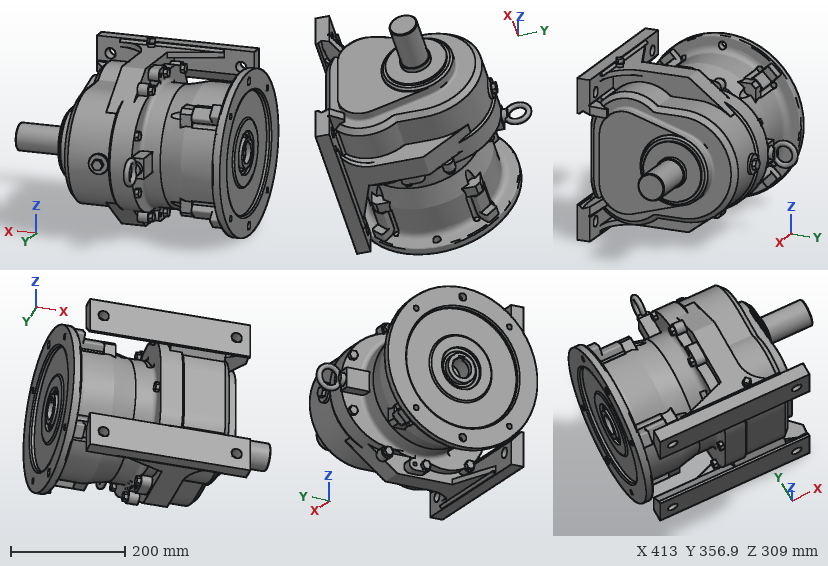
import cadquery as cq
import math

SIDES = (1, -1)

FLANGE_R = 150.0
FLANGE_T = 15.0
FLANGE_EDGE = 2.5
PILOT_R = 114.5
PILOT_DEPTH = 8.3
PILOT_CHAMFER = 3.0
HUB_FACE_R = 62.8
HUB_FACE_HEIGHT = 3.0
SEAL_RECESS_R = 39.2
SEAL_RECESS_X = 10.7
SHAFT_RECESS_R = 33
SHAFT_RECESS_X = 13.2
NECK_R = 119.8
NECK_END_X = 83.0
NECK_FILLET = 12.5
CONE_END_X = 123.5
ADAPTER_END_X = 125.5
CLEAR_HOLE_D = 14.0
TAPPED_HOLE_D = 10.0
TAPPED_DEPTH = 20.5
DRILL_TIP = 3.0
FLANGE_HOLE_R = 132
DIAGONALS = (45, 135, 225, 315)
LUG_ROOT_X = 12.5
LUG_X = 32.2
LUG_TOP_R = 147.0
RIB_X = 71.0
RIB_TOP_R = 132
RIB_W = 26.5
RIB_EDGE_R = 3.5
RIB_GROOVE_R = 5.5
RIB_GROOVE_AXIS_R = 121.0
BLOCK_X = 92.5
BLOCK_SIDE = 196.5
BLOCK_CHAMFER = 8.3
RELIEF_R = 9.0
RELIEF_AXIS_R = 121.0

INPUT_R = 55.0 / 2
INPUT_X = 3.5
INPUT_END_X = 58
INPUT_BORE_R = 19.0
INPUT_LIP_T = 9.5
INPUT_RELIEF_R = 24.0
INPUT_BORE_DEPTH = 49.5
KEYWAY_W = 12.0
KEYWAY_TOP_Z = 22.0

COVER_R = 110.3
RING_X = 163.0
RING_END_X = 207.5
RING_STEP = 3.7
COVER_FILLET = 7.5
LENS_X = 152.5
LENS_FLAT_R = 107.5
LENS_W = 49.5
LENS_ANGLES = (135, 225)
CASE_END_X = 293.0
CASE_CHAMFER = 9.5
UPPER_Y = 46.3
UPPER_R = 104.0
LOBE_Y = -55.0
LOBE_Z = 46.0
LOBE_R = 77.2
CORNER_FILLET = 4

OUTPUT_Y = 40.5
HUB_R = 65.0
HUB_END_X = 317.5
HUB_CHAMFER = 4
PAD_END_X = 311.0
PAD_LOBE_R = 49.0
PAD_FILLET = 4.5
FLAT_TOLERANCE = 0.05
SEAL_R = 55.5
SEAL_END_X = 321.7
SHOULDER_R = 55.0 / 2
SHOULDER_END_X = 330.5
OUTPUT_R = 50.0 / 2
OUTPUT_START_X = 268.5
OUTPUT_END_X = 413
OUTPUT_CHAMFER = 1.5

FOOT_X0 = 32.5
FOOT_X1 = 326.5
FOOT_Y0 = -140.0
FOOT_Y1 = -115.2
FOOT_Z0 = 85.0
FOOT_CHAMFER = 20.0
FOOT_CORNER_LAND = FOOT_Y1 - FOOT_Y0 - FOOT_CHAMFER
ROOT_Y = -126.5
ROOT_Z = 73.5
FOOT_HOLE_D = 19.0
FOOT_HOLE_X = (57.5, 301.5)
FOOT_HOLE_Z = 119.8
PLATE_X0 = 182.5
PLATE_X1 = 226.7
PLATE_Z = 143.7
PLATE_BEND_Y = 29.7
PLATE_BEND_R = 5.8
PLATE_TOP_Y = 110.3
PLATE_TOP_Z = 82.5
WEB_T = 10.0
WEB_X0 = 89.0
WEB_TOP_Y = -79.7
WEB_ARC_R = 55.5
WEB_FILLET = 5.0
GUSSET_X = 298.0
GUSSET_Y = -95.5
GUSSET_Z0 = 72.5
GUSSET_FALL = 0.4
GUSSET_T = 16.5

BOLT_HEAD_D = 17.0
BOLT_HEAD_H = 7.5
BOSS_R = 11.0
PLAIN_BOLT = (131.7, 52.0)
MIDDLE_BOLT = (-14.5, 127.5)
BOSSED_BOLTS = ((61.0, 115.5), MIDDLE_BOLT, (-102.0, 110.5))
BOTTOM_BOLT_Y = -126.0
DOWEL_BOSS = (5.5, MIDDLE_BOLT[1])
DOWEL_HOLE_D = 6.5

EYE_X = 155.0
EYE_BOSS_X0 = 140.5
EYE_BOSS_W = 37
EYE_SEAT_Y = 154.5
EYE_COLLAR_R = 12.0
EYE_COLLAR_H = 10.5
EYE_CENTER_Y = 181.7
EYE_RING_R = 20.2
EYE_WIRE_R = 5.0
EYE_SHANK_R = 5.0
EYE_SHANK_L = 12.5
VENT_X = 225.0
VENT_PAD_R = 18.0
VENT_HEAD_D = 20.2
VENT_HEAD_H = 7.0
VENT_SHANK_R = 6.0
VENT_SHANK_L = 8.3
DRAIN_X = 221.5
DRAIN_Y = -105.0
DRAIN_SHANK_R = 6.0
DRAIN_SHANK_L = 8.3
DRAIN_COLLAR_R = 8.0
DRAIN_COLLAR_Z = 150.0
DRAIN_COLLAR_T = 1.0
DRAIN_HEAD_D = 14.5
DRAIN_TOP_Z = 159.0


def disc(x0, x1, radius, y=0, z=0):
    """A cylinder along X between x0 and x1."""
    return cq.Workplane("YZ", origin=(x0, y, z)).circle(radius).extrude(x1 - x0)


def box(x0, x1, y0, y1, z0, z1):
    """A box between two corners."""
    return cq.Workplane("XY").box(x1 - x0, y1 - y0, z1 - z0, centered=False).translate((x0, y0, z0))


def upright(x, y0, y1, radius):
    """A cylinder along Y at z = 0."""
    return cq.Workplane("XZ", origin=(x, y0, 0)).circle(radius).extrude(y0 - y1)


def turned(solid, angle):
    """The solid turned about the motor axis."""
    return solid.rotate((0, 0, 0), (1, 0, 0), angle)


def mirrored(solid, side):
    """The solid itself for side 1, its mirror image across z = 0 for side -1."""
    return solid if side > 0 else solid.mirror("XY")


def adapter_turning():
    hub_x = PILOT_DEPTH - HUB_FACE_HEIGHT
    floor_r = PILOT_R - PILOT_CHAMFER
    profile = (
        cq.Workplane("XY")
        .moveTo(INPUT_END_X, 0)
        .lineTo(INPUT_END_X, INPUT_R)
        .lineTo(SHAFT_RECESS_X, INPUT_R)
        .lineTo(SHAFT_RECESS_X, SHAFT_RECESS_R)
        .lineTo(SEAL_RECESS_X, SHAFT_RECESS_R)
        .lineTo(SEAL_RECESS_X, SEAL_RECESS_R)
        .lineTo(hub_x, SEAL_RECESS_R)
        .lineTo(hub_x, HUB_FACE_R - HUB_FACE_HEIGHT)
        .lineTo(PILOT_DEPTH, HUB_FACE_R)
        .lineTo(PILOT_DEPTH, floor_r)
        .lineTo(PILOT_CHAMFER, floor_r)
        .lineTo(0, PILOT_R)
        .lineTo(0, FLANGE_R)
        .lineTo(FLANGE_T - FLANGE_EDGE, FLANGE_R)
        .radiusArc((FLANGE_T, FLANGE_R - FLANGE_EDGE), FLANGE_EDGE)
        .lineTo(FLANGE_T, NECK_R + NECK_FILLET)
        .radiusArc((FLANGE_T + NECK_FILLET, NECK_R), -NECK_FILLET)
        .lineTo(NECK_END_X, NECK_R)
        .lineTo(CONE_END_X, COVER_R)
        .lineTo(ADAPTER_END_X, COVER_R)
        .lineTo(ADAPTER_END_X, 0)
        .close()
    )
    return profile.revolve(360, (0, 0, 0), (1, 0, 0))


def flange_rib():
    """A diagonal rib on the neck that rises into a lug behind the flange, lying along +Y."""
    half = RIB_W / 2
    rib = box(LUG_ROOT_X, RIB_X, COVER_R, RIB_TOP_R, -half, half)
    lug = box(LUG_ROOT_X, LUG_X, COVER_R, LUG_TOP_R, -half, half)
    return rib.edges("|X and >Y").fillet(RIB_EDGE_R).union(lug.edges("|X and >Y").fillet(RIB_EDGE_R))


def rib_groove(side):
    """The round-bottomed groove in the neck along one side of a rib."""
    offset = RIB_W / 2 + RIB_GROOVE_R
    return disc(FLANGE_T, RIB_X, RIB_GROOVE_R, RIB_GROOVE_AXIS_R, side * offset)


def tapped_hole():
    """A blind hole with a drill tip, entering the flange face on the +Y side."""
    radius = TAPPED_HOLE_D / 2
    bottom = cq.Vector(TAPPED_DEPTH, FLANGE_HOLE_R, 0)
    tip = cq.Solid.makeCone(radius, 0, DRILL_TIP, bottom, cq.Vector(1, 0, 0))
    return disc(0, TAPPED_DEPTH, radius, FLANGE_HOLE_R).union(cq.Workplane("XY").add(tip))


def make_adapter():
    body = adapter_turning()
    block = (
        cq.Workplane("YZ", origin=(RIB_X, 0, 0))
        .rect(BLOCK_SIDE, BLOCK_SIDE)
        .extrude(BLOCK_X - RIB_X)
        .edges("|X")
        .chamfer(BLOCK_CHAMFER)
    )
    body = body.union(block)
    for angle in DIAGONALS:
        body = body.union(turned(flange_rib(), angle))
        for side in SIDES:
            body = body.cut(turned(rib_groove(side), angle))
    tapped = tapped_hole()
    relief = disc(BLOCK_X, CONE_END_X, RELIEF_R, RELIEF_AXIS_R)
    for angle in DIAGONALS:
        body = body.cut(turned(tapped, angle))
        body = body.cut(turned(relief, angle))
    for side in SIDES:
        body = body.cut(disc(0, NECK_END_X, CLEAR_HOLE_D / 2, 0, side * FLANGE_HOLE_R))
    return body


def make_input_shaft():
    lip_end = INPUT_X + INPUT_LIP_T
    bore_end = INPUT_X + INPUT_BORE_DEPTH
    shaft = disc(INPUT_X, INPUT_END_X, INPUT_R).cut(disc(INPUT_X, lip_end, INPUT_BORE_R))
    keyway = box(INPUT_X, lip_end, -KEYWAY_W / 2, KEYWAY_W / 2, 0, KEYWAY_TOP_Z)
    return shaft.cut(keyway).cut(disc(lip_end, bore_end, INPUT_RELIEF_R))


def make_output_shaft():
    shaft = disc(OUTPUT_START_X, OUTPUT_END_X, OUTPUT_R, OUTPUT_Y).faces(">X").chamfer(OUTPUT_CHAMFER)
    return shaft.union(disc(OUTPUT_START_X, SHOULDER_END_X, SHOULDER_R, OUTPUT_Y))


def make_seal():
    seal = disc(HUB_END_X, SEAL_END_X, SEAL_R, OUTPUT_Y)
    return seal.cut(disc(HUB_END_X, SEAL_END_X, SHOULDER_R, OUTPUT_Y))


def case_section(x0, x1, grow):
    """The case outline, enlarged all round by `grow`, extruded between x0 and x1."""
    side = UPPER_R + grow
    lobe_r = LOBE_R + grow
    corner_y = LOBE_Y + math.sqrt(lobe_r**2 - (side - LOBE_Z) ** 2)
    diagonal = lobe_r * math.sqrt(0.5)
    mid_y = LOBE_Y - diagonal
    mid_z = LOBE_Z + diagonal
    floor_y = LOBE_Y - lobe_r
    section = (
        cq.Workplane("YZ", origin=(x0, 0, 0))
        .moveTo(UPPER_Y, side)
        .threePointArc((UPPER_Y + side, 0), (UPPER_Y, -side))
        .lineTo(corner_y, -side)
        .threePointArc((mid_y, -mid_z), (floor_y, -LOBE_Z))
        .lineTo(floor_y, LOBE_Z)
        .threePointArc((mid_y, mid_z), (corner_y, side))
        .close()
        .extrude(x1 - x0)
    )
    for edge_z in (side, -side):
        corner = cq.NearestToPointSelector(((x0 + x1) / 2, corner_y, edge_z))
        section = section.edges(corner).fillet(CORNER_FILLET)
    return section


def output_pad():
    """The end boss: the hub joined to two lower lobes by straight tangent sides."""
    spacing = math.hypot(OUTPUT_Y - LOBE_Y, LOBE_Z)
    tilt = math.atan2(LOBE_Z, OUTPUT_Y - LOBE_Y) + math.asin((PAD_LOBE_R - HUB_R) / spacing)
    hub_y = OUTPUT_Y + HUB_R * math.sin(tilt)
    hub_z = HUB_R * math.cos(tilt)
    lobe_y = LOBE_Y + PAD_LOBE_R * math.sin(tilt)
    lobe_z = LOBE_Z + PAD_LOBE_R * math.cos(tilt)
    floor_y = LOBE_Y - PAD_LOBE_R
    corner = PAD_LOBE_R * math.sqrt(0.5)
    return (
        cq.Workplane("YZ", origin=(CASE_END_X, 0, 0))
        .moveTo(hub_y, hub_z)
        .threePointArc((OUTPUT_Y + HUB_R, 0), (hub_y, -hub_z))
        .lineTo(lobe_y, -lobe_z)
        .threePointArc((LOBE_Y - corner, -LOBE_Z - corner), (floor_y, -LOBE_Z))
        .lineTo(floor_y, LOBE_Z)
        .threePointArc((LOBE_Y - corner, LOBE_Z + corner), (lobe_y, lobe_z))
        .close()
        .extrude(PAD_END_X - CASE_END_X)
    )


def with_root_fillet(body):
    """Rounds the corner where the end boss meets the flat end of the case."""
    solid = body.val()
    end_face = [face for face in solid.Faces() if abs(face.Center().x - CASE_END_X) < FLAT_TOLERANCE][0]
    return cq.Workplane("XY").add(solid.fillet(PAD_FILLET, end_face.innerWires()[0].Edges()))


def foot():
    bar = box(FOOT_X0, FOOT_X1, FOOT_Y0, FOOT_Y1, FOOT_Z0, FLANGE_R)
    bar = bar.edges("|X and >Y and <Z").chamfer(FOOT_CHAMFER)
    for x in FOOT_HOLE_X:
        hole = cq.Workplane("XZ", origin=(x, FOOT_Y1, FOOT_HOLE_Z)).circle(FOOT_HOLE_D / 2)
        bar = bar.cut(hole.extrude(FOOT_Y1 - FOOT_Y0))
    return bar


def side_plate():
    """The upright plate beside the case, bent inwards above PLATE_BEND_Y."""
    outline = [
        (FOOT_Y1, FOOT_Z0),
        (FOOT_Y1, PLATE_Z),
        (PLATE_BEND_Y, PLATE_Z),
        (PLATE_TOP_Y, PLATE_TOP_Z),
        (PLATE_TOP_Y, 0),
        (LOBE_Y, 0),
    ]
    plate = cq.Workplane("YZ", origin=(PLATE_X0, 0, 0)).polyline(outline).close().extrude(PLATE_X1 - PLATE_X0)
    bend = cq.NearestToPointSelector(((PLATE_X0 + PLATE_X1) / 2, PLATE_BEND_Y, PLATE_Z))
    return plate.edges(bend).fillet(PLATE_BEND_R)


def foot_web():
    """The thin web that spreads from the side plate to the foot."""
    return (
        cq.Workplane("XY", origin=(0, 0, PLATE_Z - WEB_T))
        .moveTo(WEB_X0, FOOT_Y1)
        .lineTo(PLATE_X0, WEB_TOP_Y)
        .lineTo(PLATE_X1, FOOT_Y1 + WEB_ARC_R)
        .radiusArc((PLATE_X1 + WEB_ARC_R, FOOT_Y1), -WEB_ARC_R)
        .close()
        .extrude(WEB_T)
    )


def web_fillet():
    """The concave strip between the outer face of the web and the foot."""
    return (
        cq.Workplane("YZ", origin=(WEB_X0, 0, 0))
        .moveTo(FOOT_Y1, PLATE_Z)
        .lineTo(FOOT_Y1 + WEB_FILLET, PLATE_Z)
        .radiusArc((FOOT_Y1, PLATE_Z + WEB_FILLET), -WEB_FILLET)
        .close()
        .extrude(PLATE_X1 + WEB_ARC_R - WEB_X0)
    )


def foot_root():
    """The wedge that joins the inner edge of the foot to the case."""
    outline = [
        (ROOT_Y, ROOT_Z),
        (FOOT_Y0 + FOOT_CORNER_LAND, FOOT_Z0),
        (FOOT_Y1, FOOT_Z0 + FOOT_CHAMFER),
        (LOBE_Y, LOBE_Z),
    ]
    plane = cq.Workplane("YZ", origin=(PLATE_X0, 0, 0))
    return plane.polyline(outline).close().extrude(CASE_END_X - CASE_CHAMFER - PLATE_X0)


def end_gusset():
    """The gusset between the end of the case and the end of the foot, with one sloping inner face."""
    start_x = CASE_END_X - CASE_CHAMFER
    plan = [
        (start_x, ROOT_Y),
        (FOOT_X1, FOOT_Y0 + FOOT_CORNER_LAND),
        (FOOT_X1, FOOT_Y1),
        (GUSSET_X, GUSSET_Y),
        (start_x, GUSSET_Y),
    ]
    rise_along_x = (FOOT_Z0 - GUSSET_Z0 - GUSSET_FALL * (GUSSET_Y - FOOT_Y1)) / (FOOT_X1 - GUSSET_X)
    corners = [
        cq.Vector(x, y, FOOT_Z0 + rise_along_x * (x - FOOT_X1) - GUSSET_FALL * (y - FOOT_Y1)) for x, y in plan
    ]
    face = cq.Wire.makePolygon(corners, close=True)
    return cq.Workplane("XY").add(cq.Solid.extrudeLinear(face, [], cq.Vector(0, 0, GUSSET_T)))


def bolt_head(y, z):
    plane = cq.Workplane("YZ", origin=(RING_X - BOLT_HEAD_H, y, z))
    return plane.polygon(6, BOLT_HEAD_D).extrude(BOLT_HEAD_H)


def case_bolting():
    """Bolt heads and their bosses for the +Z side."""
    parts = bolt_head(*PLAIN_BOLT)
    for y, z in BOSSED_BOLTS:
        parts = parts.union(bolt_head(y, z)).union(disc(RING_X, PLATE_X0, BOSS_R, y, z))
    dowel_y, dowel_z = DOWEL_BOSS
    bridge = box(RING_X, PLATE_X0, MIDDLE_BOLT[0], dowel_y, LOBE_Z, dowel_z + BOSS_R)
    return parts.union(disc(RING_X, PLATE_X0, BOSS_R, dowel_y, dowel_z)).union(bridge)


def make_case():
    ring = case_section(RING_X, RING_END_X, RING_STEP).faces(">X").edges().chamfer(RING_STEP)
    shell = case_section(RING_X, CASE_END_X, grow=0).faces(">X").edges().chamfer(CASE_CHAMFER)
    cover = (
        cq.Workplane("XY")
        .moveTo(ADAPTER_END_X, 0)
        .lineTo(ADAPTER_END_X, COVER_R)
        .lineTo(RING_X - COVER_FILLET, COVER_R)
        .radiusArc((RING_X, COVER_R + COVER_FILLET), -COVER_FILLET)
        .lineTo(RING_X, 0)
        .close()
        .revolve(360, (0, 0, 0), (1, 0, 0))
    )
    hub = disc(CASE_END_X, HUB_END_X, HUB_R, OUTPUT_Y).faces(">X").chamfer(HUB_CHAMFER)
    body = with_root_fillet(shell.union(hub).union(output_pad())).union(ring).union(cover)
    body = body.union(box(EYE_BOSS_X0, RING_X, 0, EYE_SEAT_Y, -EYE_BOSS_W / 2, EYE_BOSS_W / 2))
    body = body.union(upright(VENT_X, UPPER_Y, EYE_SEAT_Y, VENT_PAD_R))
    body = body.union(bolt_head(BOTTOM_BOLT_Y, 0))
    lens = box(LENS_X, RING_X, LENS_FLAT_R, FLANGE_R, -LENS_W / 2, LENS_W / 2)
    for angle in LENS_ANGLES:
        body = body.cut(turned(lens, angle))
    side_pieces = (
        side_plate(),
        foot_web(),
        web_fillet(),
        foot(),
        foot_root(),
        end_gusset(),
        case_bolting(),
    )
    for side in SIDES:
        for piece in side_pieces:
            body = body.union(mirrored(piece, side))
        body = body.cut(disc(RING_X, PLATE_X0, DOWEL_HOLE_D / 2, DOWEL_BOSS[0], side * DOWEL_BOSS[1]))
    return body


def make_eyebolt():
    ring = cq.Solid.makeTorus(EYE_RING_R, EYE_WIRE_R, cq.Vector(EYE_X, EYE_CENTER_Y, 0), cq.Vector(1, 0, 0))
    collar = upright(EYE_X, EYE_SEAT_Y, EYE_SEAT_Y + EYE_COLLAR_H, EYE_COLLAR_R)
    shank = upright(EYE_X, EYE_SEAT_Y - EYE_SHANK_L, EYE_SEAT_Y, EYE_SHANK_R)
    return collar.union(shank).union(cq.Workplane("XY").add(ring))


def make_vent_plug():
    head = cq.Workplane("XZ", origin=(VENT_X, EYE_SEAT_Y, 0)).polygon(6, VENT_HEAD_D).extrude(-VENT_HEAD_H)
    return head.union(upright(VENT_X, EYE_SEAT_Y - VENT_SHANK_L, EYE_SEAT_Y, VENT_SHANK_R))


def make_drain_plug():
    base_z = PLATE_Z - DRAIN_SHANK_L
    shank = cq.Workplane("XY", origin=(DRAIN_X, DRAIN_Y, base_z)).circle(DRAIN_SHANK_R)
    collar = cq.Workplane("XY", origin=(DRAIN_X, DRAIN_Y, DRAIN_COLLAR_Z)).circle(DRAIN_COLLAR_R)
    head = cq.Workplane("XY", origin=(DRAIN_X, DRAIN_Y, DRAIN_COLLAR_Z)).polygon(4, DRAIN_HEAD_D)
    plug = shank.extrude(DRAIN_COLLAR_Z - base_z).union(collar.extrude(DRAIN_COLLAR_T))
    return plug.union(head.extrude(DRAIN_TOP_Z - DRAIN_COLLAR_Z))


adapter = make_adapter()
input_shaft = make_input_shaft()
output_shaft = make_output_shaft()
seal = make_seal()
eyebolt = make_eyebolt()
vent_plug = make_vent_plug()
drain_plug = make_drain_plug()

case = make_case()
for insert in (output_shaft, eyebolt, vent_plug, drain_plug):
    case = case.cut(insert)

bodies = (adapter, input_shaft, case, output_shaft, seal, eyebolt, vent_plug, drain_plug)
result = cq.Compound.makeCompound([body.solids().val() for body in bodies])